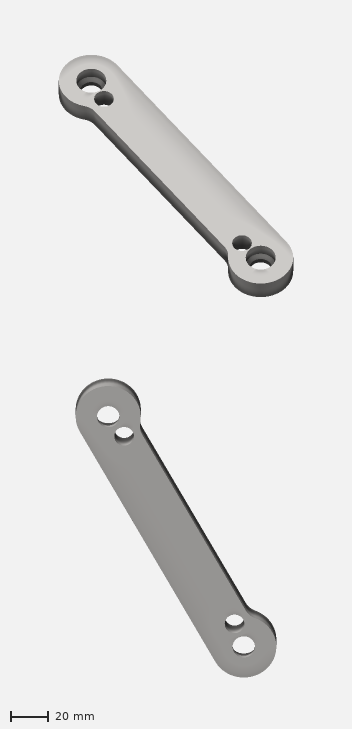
import cadquery as cq
import math

length = 185.0
thickness = 12.0
end_diameter = 35.0
bar_width = 28.5
neck_radius = 10.0

bolt_diameter = 12.0
head_diameter = 16.0
head_depth = 7.0
seat_height = 2.0

pin_diameter = 10.5
pin_inset = 13.9
pin_drop = 2.0

end_radius = end_diameter / 2
bolt_x = length / 2 - end_radius
bar_bottom = end_radius - bar_width
neck_center_y = bar_bottom - neck_radius
center_distance = end_radius + neck_radius
neck_offset = math.sqrt(center_distance**2 - neck_center_y**2)
neck_x = bolt_x - neck_offset

tangent_x = bolt_x - neck_offset * end_radius / center_distance
tangent_y = neck_center_y * end_radius / center_distance
neck_angle = math.atan2(tangent_y - neck_center_y, tangent_x - neck_x)
middle_angle = (neck_angle + math.pi / 2) / 2
neck_middle_x = neck_x + neck_radius * math.cos(middle_angle)
neck_middle_y = neck_center_y + neck_radius * math.sin(middle_angle)


def make_plate():
    """Bar with a round lobe at each end, flush with its +Y edge."""
    return (
        cq.Workplane("XY")
        .moveTo(-bolt_x, end_radius)
        .lineTo(bolt_x, end_radius)
        .threePointArc((length / 2, 0), (tangent_x, tangent_y))
        .threePointArc((neck_middle_x, neck_middle_y), (neck_x, bar_bottom))
        .lineTo(-neck_x, bar_bottom)
        .threePointArc((-neck_middle_x, neck_middle_y), (-tangent_x, tangent_y))
        .threePointArc((-length / 2, 0), (-bolt_x, end_radius))
        .close()
        .extrude(thickness)
    )


def make_bolt_hole(x):
    """Through hole with a conical seat under a cylindrical head recess."""
    bolt_radius = bolt_diameter / 2
    head_radius = head_diameter / 2
    seat_top = thickness - head_depth
    profile = [
        (0, 0),
        (bolt_radius, 0),
        (bolt_radius, seat_top - seat_height),
        (head_radius, seat_top),
        (head_radius, thickness),
        (0, thickness),
    ]
    hole = cq.Workplane("XZ").polyline(profile).close().revolve(360, (0, 0), (0, 1))
    return hole.translate((x, 0, 0))


def make_pin_hole(x):
    """Plain through hole beside the bolt hole."""
    return cq.Workplane("XY").center(x, -pin_drop).circle(pin_diameter / 2).extrude(thickness)


result = make_plate()
for side in (-1, 1):
    result = result.cut(make_bolt_hole(side * bolt_x))
    result = result.cut(make_pin_hole(side * (bolt_x - pin_inset)))